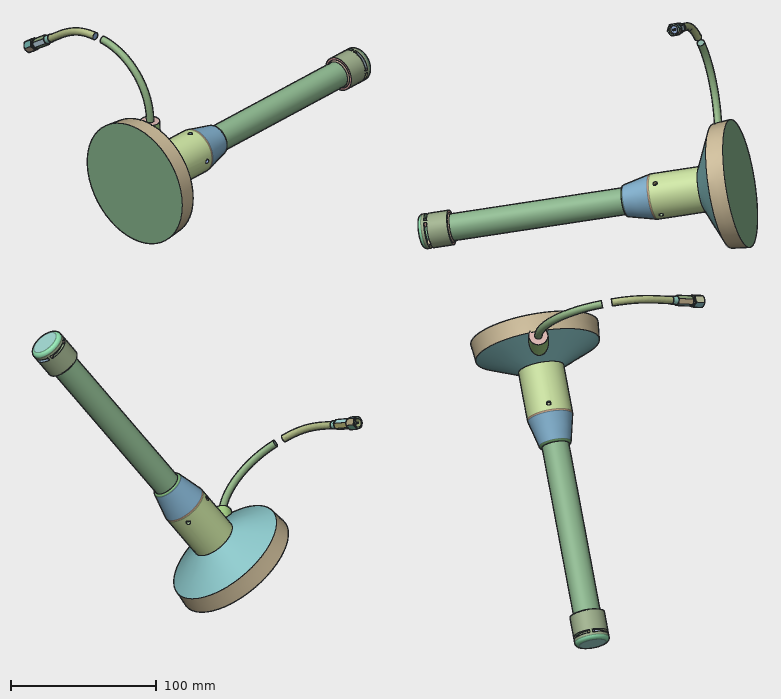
import cadquery as cq
import math


overall_length = 227.05

foot_radius = 44.5
foot_rim_height = 12.5
foot_rim_top_radius = 43.2
foot_height = 26.3

boss_top_radius = 6.6
boss_bottom_radius = 8.0
boss_top_z = 43.0
boss_bottom_z = 15.0

sleeve_radius = 15.85
sleeve_cone_start = 61.5
sleeve_end = 82.3
sleeve_end_radius = 10.9
sleeve_shoulder_fillet = 5.0
sleeve_end_fillet = 1.6

set_screw_y = 56.2
set_screw_radius = 1.5
set_screw_depth = 3.0
set_screw_count = 4

mast_radius = 9.4

cap_radius = 12.1
cap_length = 21.2
cap_top_fillet = 2.75
cap_neck_radius = 10.4
cap_neck_length = 1.0

slot_count = 4
slot_end_offset = 4.8
slot_width = 2.1
slot_floor_radius = 9.5
slot_rib_half_width = 0.95
slot_floor_rib_half_width = 2.4

cable_radius = 2.6
cable_y = 15.6
cable_peak_z = 89.98
foot_cable_end_x = -44.4
plug_cable_end_x = -51.2

plug_tip_x = -113.67
plug_tip_z = 57.6
plug_slope = 35.0
nut_flats = 8.0
nut_length = 7.7
nut_chamfer = 0.6
nut_bore_radius = 3.0
nut_bore_depth = 5.0
pin_radius = 0.6
plug_neck_radius = 3.1
plug_neck_length = 1.2
plug_hex_flats = 6.4
plug_hex_length = 12.4
ferrule_radius = 2.9
ferrule_length = 4.2

hexagon_sides = 6

cap_start = overall_length - cap_length
mast_end = cap_start - cap_neck_length
ferrule_start = nut_length + plug_neck_length + plug_hex_length
half_side_angle = 180 / hexagon_sides
plug_length = ferrule_start + ferrule_length

plug_axis = cq.Vector(math.cos(math.radians(plug_slope)), 0, math.sin(math.radians(plug_slope)))
plug_tip = cq.Vector(plug_tip_x, cable_y, plug_tip_z)
plug_back = plug_tip + plug_axis * plug_length


def turned(profile):
    """Revolve a closed (radius, Y) profile about the Y axis."""
    return cq.Workplane("XY").polyline(profile).close().revolve(360, (0, 0, 0), (0, 1, 0))


def disc_along_y(radius, start, length):
    return cq.Workplane("XZ", origin=(0, start, 0)).circle(radius).extrude(-length)


def make_foot():
    """Tapered rim, conical top and a drafted cable boss; the cable butts on the boss."""
    body = turned([
        (0, 0),
        (foot_radius, 0),
        (foot_rim_top_radius, foot_rim_height),
        (sleeve_radius, foot_height),
        (0, foot_height),
    ])
    boss = (
        cq.Workplane("XY", origin=(0, cable_y, boss_bottom_z))
        .circle(boss_bottom_radius)
        .workplane(offset=boss_top_z - boss_bottom_z)
        .circle(boss_top_radius)
        .loft()
    )
    return body.union(boss)


def make_sleeve():
    """Cylinder narrowing to the mast, with a ring of set-screw holes."""
    sleeve = turned([
        (0, foot_height),
        (sleeve_radius, foot_height),
        (sleeve_radius, sleeve_cone_start),
        (sleeve_end_radius, sleeve_end),
        (0, sleeve_end),
    ])
    selection_margin = 1.0
    shoulder = cq.selectors.BoxSelector(
        (-foot_radius, sleeve_cone_start - selection_margin, -foot_radius),
        (foot_radius, sleeve_cone_start + selection_margin, foot_radius),
    )
    sleeve = sleeve.edges("%CIRCLE").edges(shoulder).fillet(sleeve_shoulder_fillet)
    sleeve = sleeve.faces(">Y").edges().fillet(sleeve_end_fillet)
    hole = (
        cq.Workplane("XY", origin=(0, set_screw_y, sleeve_radius - set_screw_depth))
        .circle(set_screw_radius)
        .extrude(2 * set_screw_depth)
    )
    for index in range(set_screw_count):
        angle = index * 360 / set_screw_count
        sleeve = sleeve.cut(hole.rotate((0, 0, 0), (0, 1, 0), angle))
    return sleeve


def make_mast():
    return disc_along_y(mast_radius, sleeve_end, mast_end - sleeve_end)


def make_cap_slot():
    """One slot with a round floor and end walls that close in towards the floor."""
    rib_outer = math.sqrt(cap_radius**2 - slot_rib_half_width**2)
    rib_inner = math.sqrt(slot_floor_radius**2 - slot_floor_rib_half_width**2)
    wall_run = rib_outer - rib_inner
    wall_rise = slot_floor_rib_half_width - slot_rib_half_width
    far_across = slot_rib_half_width - wall_rise / 2
    far_along = rib_outer + wall_run / 2
    slot_start = overall_length - slot_end_offset - slot_width
    wedge = (
        cq.Workplane("XZ", origin=(0, slot_start, 0))
        .moveTo(slot_floor_rib_half_width, rib_inner)
        .lineTo(far_across, far_along)
        .lineTo(far_along, far_along)
        .lineTo(far_along, far_across)
        .lineTo(rib_inner, slot_floor_rib_half_width)
        .close()
        .extrude(-slot_width)
    )
    return wedge.cut(disc_along_y(slot_floor_radius, slot_start, slot_width))


def make_cap():
    """Round cap with a filleted top, a ring of slots and a short neck tapering to the mast."""
    cap = disc_along_y(cap_radius, cap_start, cap_length)
    cap = cap.faces(">Y").edges().fillet(cap_top_fillet)
    slot = make_cap_slot()
    for index in range(slot_count):
        angle = index * 360 / slot_count
        cap = cap.cut(slot.rotate((0, 0, 0), (0, 1, 0), angle))
    neck = turned([
        (0, mast_end),
        (mast_radius, mast_end),
        (cap_neck_radius, cap_start),
        (0, cap_start),
    ])
    return cap.union(neck)


def make_foot_cable():
    """One arc that rises straight out of the boss and is almost level at the gap."""
    rise = cable_peak_z - boss_top_z
    run = -foot_cable_end_x
    bend_radius = (run**2 + rise**2) / (2 * run)
    path = (
        cq.Workplane("XZ", origin=(0, cable_y, 0))
        .moveTo(0, boss_top_z)
        .radiusArc((foot_cable_end_x, cable_peak_z), -bend_radius)
    )
    return cq.Workplane("XY", origin=(0, cable_y, boss_top_z)).circle(cable_radius).sweep(path)


def make_plug_cable():
    """From a level end at the gap down to the back of the connector."""
    level_end = cq.Vector(plug_cable_end_x, cable_y, cable_peak_z)
    bend = cq.Edge.makeSpline([level_end, plug_back], [cq.Vector(-1, 0, 0), plug_axis * -1])
    path = cq.Wire.assembleEdges([bend])
    return cq.Workplane("YZ", origin=level_end.toTuple()).circle(cable_radius).sweep(path)


def hexagon_corners(flats):
    """Size across corners of a hexagon from its size across flats."""
    return flats / math.cos(math.radians(half_side_angle))


def make_plug():
    """Coaxial connector: hex nut bored round a centre pin, neck, hex body and crimp ferrule on one axis."""

    def section(distance):
        plane = cq.Plane(
            origin=(plug_tip + plug_axis * distance).toTuple(),
            xDir=(0, 1, 0),
            normal=plug_axis.toTuple(),
        )
        return cq.Workplane(plane)

    nut_corners = hexagon_corners(nut_flats)
    hex_corners = hexagon_corners(plug_hex_flats)
    nut = section(0).polygon(hexagon_sides, nut_corners).extrude(nut_length)
    nut_blank = section(0).circle(nut_corners / 2).extrude(nut_length).edges().chamfer(nut_chamfer)
    nut = nut.intersect(nut_blank)
    nut = nut.cut(section(0).circle(nut_bore_radius).circle(pin_radius).extrude(nut_bore_depth))

    neck = section(nut_length).circle(plug_neck_radius).extrude(plug_neck_length)
    hex_body = (
        section(nut_length + plug_neck_length)
        .transformed(rotate=(0, 0, half_side_angle))
        .polygon(hexagon_sides, hex_corners)
        .extrude(plug_hex_length)
    )
    ferrule = section(ferrule_start).circle(ferrule_radius).extrude(ferrule_length)
    return nut.union(neck).union(hex_body).union(ferrule)


foot = make_foot()
sleeve = make_sleeve()
mast = make_mast()
cap = make_cap()
foot_cable = make_foot_cable()
plug_cable = make_plug_cable()
plug = make_plug()

result = cq.Compound.makeCompound([
    foot.val(),
    sleeve.val(),
    mast.val(),
    cap.val(),
    foot_cable.val(),
    plug_cable.val(),
    plug.val(),
])